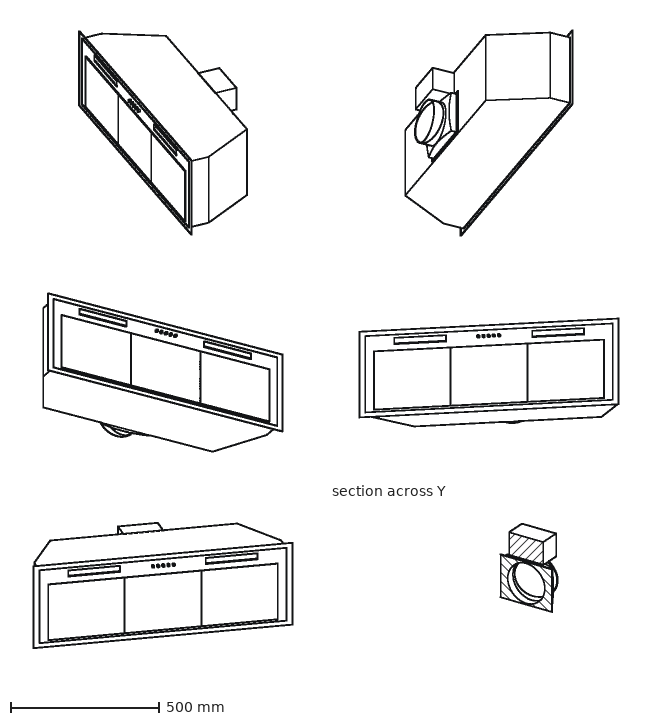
import cadquery as cq
import math


rim_width = 900.0
rim_height = 295.0
rim_thickness = 3.0
housing_width = 859.0
housing_height = 263.0
housing_depth = 263.0
housing_rear_width = 650.0
straight_side_depth = 72.0
panel_recess = 1.0

box_width = 139.0
box_height = 86.0
box_length = 79.0
box_top_gap = 3.0

button_count = 5
button_pitch = 18.0
button_diameter = 8.0
button_length = 8.0

filter_count = 3
filter_pitch = 266.0
filter_gap = 1.0
filter_height = 201.0
filter_bottom_margin = 8.0
filter_thickness = 4.5
filter_lift = 2.0

light_count = 2
light_width = 180.0
light_height = 22.0
light_spacing = 479.0
light_top_margin = 11.0
light_depth = 4.0
light_bottom_gap = 3.0

collar_z = -45.0
plate_width = 209.0
plate_height = 161.0
plate_thickness = 3.0
base_width = 182.0
base_height = 153.0
pipe_radius = 76.0
pipe_wall = 2.0
pipe_start = 33.0
pipe_end = 76.5
cone_slope = 0.3
blade_thickness = 1.0
blade_offset = 60.0
blade_slope = 0.25

rim_front = -rim_thickness
panel_front = rim_front + panel_recess
filter_z = -housing_height / 2 + filter_bottom_margin + filter_height / 2
light_z = housing_height / 2 - light_top_margin - light_height / 2
button_z = light_z
box_z = housing_height / 2 - box_top_gap - box_height / 2


def block(width, length, height, x, y, z):
    """Box centred on x and z, running from y towards the rear."""
    return cq.Workplane("XY").box(width, length, height, centered=(True, False, True)).translate((x, y, z))


def cylinder(radius, length, x, y, z):
    """Round bar along Y, running from y towards the rear."""
    plane = cq.Plane(origin=(x, y, z), xDir=(-1, 0, 0), normal=(0, 1, 0))
    return cq.Workplane(plane).circle(radius).extrude(length)


def row(count, pitch):
    """X positions of a row of equally spaced items centred on X = 0."""
    return [(i - (count - 1) / 2) * pitch for i in range(count)]


def make_shell():
    """Trapezoidal housing with a wider rim around its slightly recessed front panel."""
    body = (
        cq.Workplane("XY", origin=(0, 0, -housing_height / 2))
        .moveTo(-housing_width / 2, panel_front)
        .lineTo(housing_width / 2, panel_front)
        .lineTo(housing_width / 2, straight_side_depth)
        .lineTo(housing_rear_width / 2, housing_depth)
        .lineTo(-housing_rear_width / 2, housing_depth)
        .lineTo(-housing_width / 2, straight_side_depth)
        .close()
        .extrude(housing_height)
    )
    rim = block(rim_width, rim_thickness, rim_height, 0, rim_front, 0)
    opening = block(housing_width, rim_thickness, housing_height, 0, rim_front, 0)
    return body.union(rim.cut(opening))


def filter_recess():
    """Pocket in the front panel that holds all the filters side by side."""
    width = filter_count * filter_pitch - filter_gap
    return block(width, filter_thickness - filter_lift, filter_height, 0, panel_front, filter_z)


def light_recess(x):
    return block(light_width, light_depth, light_height, x, panel_front, light_z)


def make_housing(light_places):
    housing = make_shell()
    housing = housing.union(block(box_width, box_length, box_height, 0, housing_depth, box_z))
    for x in row(button_count, button_pitch):
        button = cylinder(button_diameter / 2, button_length, x, panel_front - button_length, button_z)
        housing = housing.union(button)
    housing = housing.cut(filter_recess())
    for x in light_places:
        housing = housing.cut(light_recess(x))
    return housing


def make_filter(x):
    width = filter_pitch - filter_gap
    return block(width, filter_thickness, filter_height, x, panel_front - filter_lift, filter_z)


def make_light(x):
    """Lens set against the top of its recess, leaving a gap along the bottom."""
    height = light_height - light_bottom_gap
    return block(light_width, light_depth, height, x, panel_front, light_z + light_bottom_gap / 2)


def make_collar_base():
    """Square base whose top is cut to a cone that leads into the pipe."""
    square = block(base_width, pipe_start, base_height, 0, housing_depth, collar_z)
    cone = cq.Workplane(
        cq.Solid.makeCone(
            pipe_radius + pipe_start / cone_slope,
            pipe_radius,
            pipe_start,
            pnt=cq.Vector(0, housing_depth, collar_z),
            dir=cq.Vector(0, 1, 0),
        )
    )
    return square.intersect(cone)


def make_blade():
    """Tilted damper blade that fills the pipe, its +X tip standing out of the pipe end."""
    sheet_size = 3 * pipe_radius
    tilt = math.degrees(math.atan(blade_slope))
    sheet = (
        block(sheet_size, blade_thickness, sheet_size, 0, -blade_thickness, 0)
        .rotate((0, 0, 0), (0, 0, 1), tilt)
        .translate((0, housing_depth + blade_offset, collar_z))
    )
    reach = cylinder(pipe_radius, 2 * pipe_end, 0, housing_depth, collar_z)
    return sheet.intersect(reach)


def make_collar():
    plate = block(plate_width, plate_thickness, plate_height, 0, housing_depth, collar_z)
    pipe = cylinder(pipe_radius, pipe_end - pipe_start, 0, housing_depth + pipe_start, collar_z)
    bore = cylinder(pipe_radius - pipe_wall, pipe_end, 0, housing_depth, collar_z)
    return plate.union(make_collar_base()).union(pipe).cut(bore).union(make_blade())


light_places = row(light_count, light_spacing)
housing = make_housing(light_places)
collar = make_collar()
filters = [make_filter(x) for x in row(filter_count, filter_pitch)]
lights = [make_light(x) for x in light_places]

result = cq.Compound.makeCompound([
    housing.val(),
    collar.val(),
    *[part.val() for part in filters],
    *[part.val() for part in lights],
])